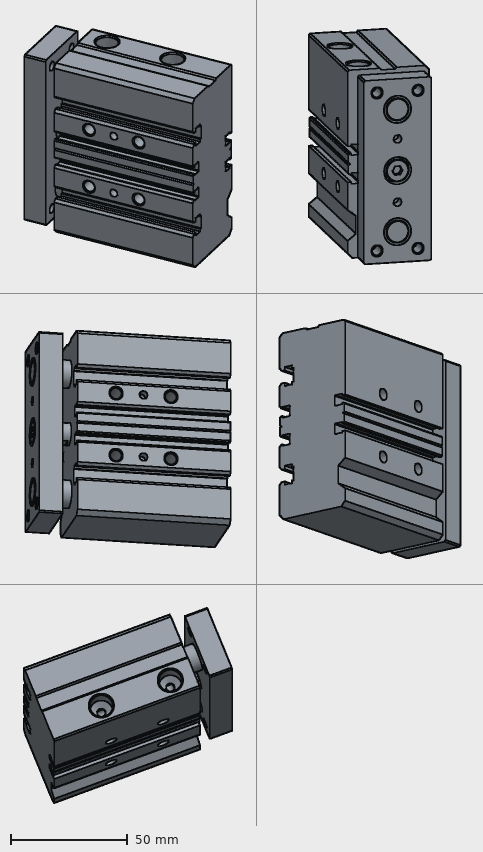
import cadquery as cq
import math

total_length = 83.0
overlap = 0.8
drill_angle = math.radians(118)

body_start = 16.0
body_length = total_length - body_start
body_thickness = 36.0
body_height = 83.0
front_face = -body_thickness / 2
back_face = body_thickness / 2
top_face = body_height / 2
bottom_face = -body_height / 2
top_front_chamfer = 1.75
top_back_chamfer = 0.75
bottom_chamfer = 2.15

top_groove_floor_width = 6.1
top_groove_depth = 0.75

bolt_slot_z = 22.0
bolt_slot_opening = 5.5
bolt_slot_mouth_chamfer = 1.25
bolt_slot_lip = 2.9
bolt_slot_inner_width = 8.5
bolt_slot_depth = 7.7
bolt_slot_step_depth = 0.9
bolt_slot_step_height = 1.2

sensor_slot_z = 6.3
sensor_slot_opening = 3.4
sensor_slot_lip = 1.7
sensor_slot_inner_width = 4.7
sensor_slot_depth = 5.65
sensor_slot_corner = 0.3
land_chamfer = 1.1

rib_setback = 0.3
rib_height = 2 * sensor_slot_z - sensor_slot_opening
rib_chamfer = 0.6
rib_groove_depth = 0.8
rib_groove_half_width = 0.5

recess_mouth_width = 13.6
recess_floor_width = 7.8
recess_depth = 3.7

mount_hole_x = (32.9, 56.85)
mount_hole_z = 13.95
mount_hole_diameter = 5.0
mount_hole_chamfer = 0.5
body_dowel_diameter = 3.5
body_dowel_depth = 5.0

front_port_x = 26.7
rear_port_x = 58.4
port_y = 10.45
port_diameter = 9.8
port_chamfer = 0.6
port_depth = 7.5
passage_diameter = 3.65
passage_depth = 11.6
cross_drilling_reach = 2.5

plate_length = 10.3
plate_thickness = 29.9
plate_height = 81.0
plate_chamfer = 0.7
plate_screw_y = 9.05
plate_screw_z = 34.9
plate_screw_diameter = 4.15
plate_screw_chamfer = 0.5
plate_dowel_z = 13.95
plate_dowel_diameter = 3.5
plate_dowel_depth = 5.8

seat_depth = 49.8
rod_end = body_start + seat_depth
guide_rod_z = 27.0
guide_rod_diameter = 12.0
guide_shoulder_depth = 0.3
guide_tip_diameter = 10.0
rod_tip_chamfer = 0.3
piston_rod_diameter = 10.0
piston_recess_diameter = 12.0
piston_recess_depth = 5.0
wrench_flats = 8.0
wrench_flats_end = 14.9
socket_flats = 3.8
socket_depth = 2.5


def rod_along_x(diameter, start, end, z=0.0):
    """Cylinder along X from start to end, at height z."""
    section = cq.Workplane("YZ", origin=(start, 0, z)).circle(diameter / 2)
    return section.extrude(end - start)


def along_body(points):
    """Prism with a (Y, Z) outline over the whole body length."""
    return cq.Workplane("YZ", origin=(body_start, 0, 0)).polyline(points).close().extrude(body_length)


def mirrored_in_z(half_points, center_z):
    """Closed outline from the upper half, given as (y, distance above center_z)."""
    upper = [(y, center_z + rise) for y, rise in half_points]
    lower = [(y, center_z - rise) for y, rise in reversed(half_points)]
    return upper + lower


def blind_hole(diameter, depth):
    """Cutter for a drilled hole going down from the origin along -Z, with a cone at its end."""
    radius = diameter / 2
    cone = radius / math.tan(drill_angle / 2)
    profile = [(0, overlap), (radius, overlap), (radius, -depth), (0, -depth - cone)]
    return cq.Workplane("XZ").polyline(profile).close().revolve(360, (0, 0, 0), (0, 1, 0))


def chamfer_cutter(diameter, chamfer):
    """Cutter going down from the origin along -Z for a 45 degree chamfer at a hole's mouth."""
    radius = diameter / 2
    profile = [(0, 0), (radius + chamfer, 0), (radius, -chamfer), (0, -chamfer)]
    return cq.Workplane("XZ").polyline(profile).close().revolve(360, (0, 0, 0), (0, 1, 0))


def into_plus_y(cutter):
    """Turn a cutter that goes along -Z so that it goes along +Y."""
    return cutter.rotate((0, 0, 0), (1, 0, 0), 90)


def into_plus_x(cutter):
    """Turn a cutter that goes along -Z so that it goes along +X."""
    return cutter.rotate((0, 0, 0), (0, 1, 0), -90)


def body_block():
    """Block with chamfered long edges."""
    outline = [
        (front_face + bottom_chamfer, bottom_face),
        (back_face - bottom_chamfer, bottom_face),
        (back_face, bottom_face + bottom_chamfer),
        (back_face, top_face - top_back_chamfer),
        (back_face - top_back_chamfer, top_face),
        (front_face + top_front_chamfer, top_face),
        (front_face, top_face - top_front_chamfer),
        (front_face, bottom_face + bottom_chamfer),
    ]
    return along_body(outline)


def top_groove():
    """Groove with 45 degree sides along the top face."""
    floor_half = top_groove_floor_width / 2
    mouth_half = floor_half + top_groove_depth
    floor_z = top_face - top_groove_depth
    return along_body(
        [(-mouth_half, top_face), (-floor_half, floor_z), (floor_half, floor_z), (mouth_half, top_face)]
    )


def bolt_slot(center_z):
    """T-slot in the front face, with a narrower step at its floor."""
    inner_half = bolt_slot_inner_width / 2
    step_half = inner_half - bolt_slot_step_height
    floor_y = front_face + bolt_slot_depth
    half = [
        (front_face, bolt_slot_opening / 2),
        (front_face + bolt_slot_lip, bolt_slot_opening / 2),
        (front_face + bolt_slot_lip, inner_half),
        (floor_y - bolt_slot_step_depth, inner_half),
        (floor_y - bolt_slot_step_depth, step_half),
        (floor_y, step_half),
    ]
    return along_body(mirrored_in_z(half, center_z))


def sensor_slot(center_z):
    """T-slot in the front face, with chamfered inner corners."""
    inner_half = sensor_slot_inner_width / 2
    floor_y = front_face + sensor_slot_depth
    half = [
        (front_face, sensor_slot_opening / 2),
        (front_face + sensor_slot_lip, sensor_slot_opening / 2),
        (front_face + sensor_slot_lip, inner_half),
        (floor_y - sensor_slot_corner, inner_half),
        (floor_y, inner_half - sensor_slot_corner),
    ]
    return along_body(mirrored_in_z(half, center_z))


def rib_relief():
    """Cutter that sets the front of the middle rib back and gives it chamfers and a V groove."""
    rib_face = front_face + rib_setback
    half = [
        (front_face, rib_height / 2),
        (rib_face + rib_chamfer, rib_height / 2),
        (rib_face, rib_height / 2 - rib_chamfer),
        (rib_face, rib_groove_half_width),
        (rib_face + rib_groove_depth, 0),
    ]
    lower = [(y, -rise) for y, rise in reversed(half[:-1])]
    return along_body(half + lower)


def front_edge_chamfer(edge_z, size):
    """45 degree chamfer cutter for a front edge at edge_z; the land lies on the side of size's sign."""
    return along_body([(front_face, edge_z), (front_face, edge_z + size), (front_face + abs(size), edge_z)])


def back_recess():
    """Recess in the back face that narrows inward, level with the lower guide rod."""
    half = [(back_face, recess_mouth_width / 2), (back_face - recess_depth, recess_floor_width / 2)]
    return along_body(mirrored_in_z(half, -guide_rod_z))


def mount_holes(z):
    """Row of two through holes with a blind dowel hole midway between them."""
    chamfer = into_plus_y(chamfer_cutter(mount_hole_diameter, mount_hole_chamfer))
    through = cq.Workplane("XZ").circle(mount_hole_diameter / 2).extrude(-body_thickness)
    hole = through.union(chamfer)
    dowel = into_plus_y(blind_hole(body_dowel_diameter, body_dowel_depth))
    row = dowel.translate((sum(mount_hole_x) / 2, front_face, z))
    for x in mount_hole_x:
        row = row.union(hole.translate((x, front_face, z)))
    return row


def air_port(x, cross_plane):
    """Port with a cone and an air passage that ends in a short cross drilling."""
    port = blind_hole(port_diameter, port_depth).union(chamfer_cutter(port_diameter, port_chamfer))
    radius = passage_diameter / 2
    passage = cq.Workplane("XY").circle(radius).extrude(-passage_depth)
    cross_drilling = (
        cq.Workplane(cross_plane, origin=(0, 0, -passage_depth))
        .circle(radius)
        .extrude(cross_drilling_reach, both=True)
    )
    return port.union(passage).union(cross_drilling).translate((x, port_y, top_face))


def make_body():
    """Housing with its slots, mounting holes, air ports and rod seats."""
    body = body_block().cut(top_groove())
    for side in (1, -1):
        body = body.cut(bolt_slot(side * bolt_slot_z))
        for edge in (1, -1):
            edge_z = side * bolt_slot_z + edge * bolt_slot_opening / 2
            body = body.cut(front_edge_chamfer(edge_z, edge * bolt_slot_mouth_chamfer))
        front_slot = sensor_slot(side * sensor_slot_z)
        body = body.cut(front_slot).cut(front_slot.mirror("XZ"))
        land_edge = sensor_slot_z + sensor_slot_opening / 2
        body = body.cut(front_edge_chamfer(side * land_edge, side * land_chamfer))
        body = body.cut(mount_holes(side * mount_hole_z))
    body = body.cut(rib_relief()).cut(rib_relief().mirror("XZ")).cut(back_recess())
    body = body.cut(air_port(front_port_x, "XZ")).cut(air_port(rear_port_x, "YZ"))
    body = body.cut(rod_along_x(piston_rod_diameter, body_start, rod_end))
    for side in (1, -1):
        body = body.cut(rod_along_x(guide_rod_diameter, body_start, rod_end, side * guide_rod_z))
    return body


def make_plate():
    """End plate with rod holes, corner screw holes and two blind dowel holes."""
    plate = (
        cq.Workplane("XY")
        .box(plate_length, plate_thickness, plate_height, centered=(False, True, True))
        .edges("|X")
        .chamfer(plate_chamfer)
    )
    screw_hole = rod_along_x(plate_screw_diameter, 0, plate_length)
    screw_hole = screw_hole.union(into_plus_x(chamfer_cutter(plate_screw_diameter, plate_screw_chamfer)))
    dowel = into_plus_x(blind_hole(plate_dowel_diameter, plate_dowel_depth))
    for z_side in (1, -1):
        for y_side in (1, -1):
            plate = plate.cut(screw_hole.translate((0, y_side * plate_screw_y, z_side * plate_screw_z)))
        plate = plate.cut(dowel.translate((0, 0, z_side * plate_dowel_z)))
        plate = plate.cut(rod_along_x(guide_rod_diameter, 0, plate_length, z_side * guide_rod_z))
    plate = plate.cut(rod_along_x(piston_recess_diameter, 0, piston_recess_depth))
    return plate.cut(rod_along_x(piston_rod_diameter, 0, plate_length))


def make_guide_rod(z):
    """Guide rod with a low chamfered tip that is flush with the plate."""
    tip = rod_along_x(guide_tip_diameter, 0, guide_shoulder_depth + overlap, z)
    tip = tip.faces("<X").chamfer(rod_tip_chamfer)
    return rod_along_x(guide_rod_diameter, guide_shoulder_depth, rod_end, z).union(tip)


def make_piston_rod():
    """Piston rod with a hexagon socket in its tip and wrench flats between plate and body."""
    rod = rod_along_x(piston_rod_diameter, 0, rod_end).faces("<X").chamfer(rod_tip_chamfer)
    socket_corners = socket_flats / math.cos(math.pi / 6)
    rod = rod.cut(cq.Workplane("YZ").polygon(6, socket_corners).extrude(socket_depth))
    flats_length = wrench_flats_end - plate_length
    flat_cutter = cq.Workplane("XY", origin=(plate_length, 0, wrench_flats / 2)).box(
        flats_length, piston_rod_diameter, piston_rod_diameter, centered=(False, True, False)
    )
    return rod.cut(flat_cutter).cut(flat_cutter.mirror("XY"))


body = make_body()
plate = make_plate()
guide_rods = [make_guide_rod(side * guide_rod_z) for side in (1, -1)]
piston_rod = make_piston_rod()

result = cq.Compound.makeCompound(
    [body.val(), plate.val(), *[rod.val() for rod in guide_rods], piston_rod.val()]
)